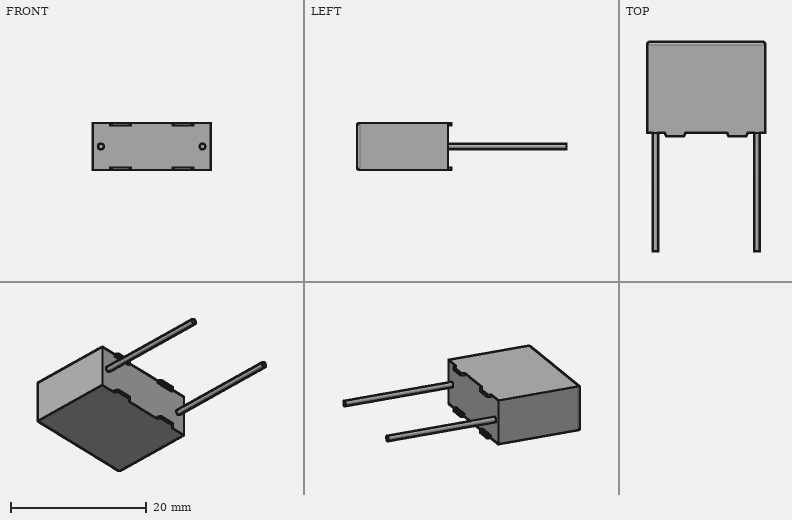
import cadquery as cq


box_width = 17.5
box_depth = 13.5
box_thickness = 7.0
back_fillet = 0.5

foot_spacing = 9.2
foot_root_width = 3.1
foot_tip_width = 2.6
foot_height = 0.5
foot_thickness = 0.4

lead_pitch = 15.0
lead_diameter = 0.85
lead_length = 17.5


def make_foot(center_x, bottom_z):
    """Tapered foot standing on the lead face, narrowing toward its tip."""
    half_root = foot_root_width / 2
    half_tip = foot_tip_width / 2
    return (
        cq.Workplane("XY", origin=(center_x, 0, bottom_z))
        .moveTo(-half_root, 0)
        .lineTo(-half_tip, -foot_height)
        .lineTo(half_tip, -foot_height)
        .lineTo(half_root, 0)
        .close()
        .extrude(foot_thickness)
    )


def make_housing():
    """Box with rounded back edges and a foot near each end of both long edges."""
    housing = (
        cq.Workplane("XY")
        .box(box_width, box_depth, box_thickness, centered=(True, False, True))
        .faces(">Y")
        .edges()
        .fillet(back_fillet)
    )
    lower_foot_z = -box_thickness / 2
    upper_foot_z = box_thickness / 2 - foot_thickness
    for center_x in (-foot_spacing / 2, foot_spacing / 2):
        for bottom_z in (lower_foot_z, upper_foot_z):
            housing = housing.union(make_foot(center_x, bottom_z))
    return housing


def make_lead(center_x):
    """Round wire that starts on the lead face and runs toward -Y."""
    return (
        cq.Workplane("XZ", origin=(center_x, 0, 0))
        .circle(lead_diameter / 2)
        .extrude(lead_length)
    )


housing = make_housing().solids()
leads = [make_lead(center_x) for center_x in (-lead_pitch / 2, lead_pitch / 2)]

result = cq.Compound.makeCompound([housing.val(), *[lead.val() for lead in leads]])